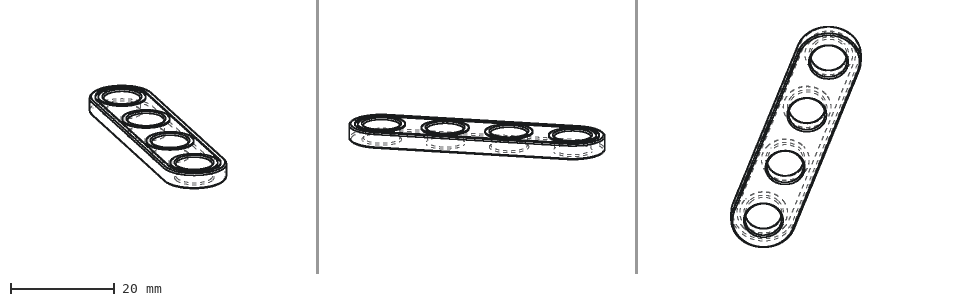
import cadquery as cq

length = 50.0
width = 12.5
thickness = width / 4
edge_chamfer = 0.3

hole_count = 4
hole_diameter = 7.0
hole_chamfer = 0.3
hole_pitch = (length - width) / (hole_count - 1)

rim_width = 1.1
recess_depth = 0.2
collar_diameter = 9.2


def make_plate():
    """Round-ended plate with both outer edges chamfered."""
    plate = cq.Workplane("XY").slot2D(length, width).extrude(thickness)
    return plate.faces("<Z or >Z").edges().chamfer(edge_chamfer)


def at_hole_centres(height):
    """Workplane at the given height with a point on every hole axis."""
    return cq.Workplane("XY", origin=(0, 0, height)).rarray(hole_pitch, 0.5, hole_count, 1)


def make_recess():
    """Round-ended recess with the hole collars left standing."""
    floor_height = thickness - recess_depth
    recess = (
        cq.Workplane("XY", origin=(0, 0, floor_height))
        .slot2D(length - 2 * rim_width, width - 2 * rim_width)
        .extrude(recess_depth)
    )
    collars = at_hole_centres(floor_height).circle(collar_diameter / 2).extrude(recess_depth)
    return recess.cut(collars)


def make_holes():
    """Through holes that flare out at both faces."""
    radius = hole_diameter / 2
    half_profile = [
        (0, 0),
        (radius + hole_chamfer, 0),
        (radius, hole_chamfer),
        (radius, thickness - hole_chamfer),
        (radius + hole_chamfer, thickness),
        (0, thickness),
    ]
    hole = cq.Workplane("XZ").polyline(half_profile).close().revolve(360, (0, 0), (0, 1)).val()
    return at_hole_centres(0).eachpoint(lambda place: hole.moved(place))


result = make_plate().cut(make_recess()).cut(make_holes())